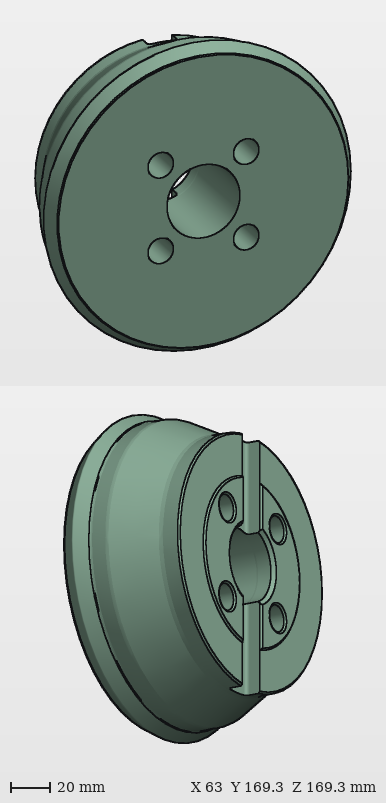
import cadquery as cq
import math

PILOT_HEIGHT = 1.0
PILOT_ROOT = 1.0
CONE_START_X = 12.0
CONE_END_X = 37.0
TOTAL_WIDTH = 63.0
RING_START_X = 47.5
RING_PEAK_X = 54.8

PILOT_DIAMETER = 90.0
FRONT_DIAMETER = 135.0
DRUM_DIAMETER = 159.43
RING_DIAMETER = 169.34

FACE_CHAMFER = 1.0
PILOT_CHAMFER = PILOT_HEIGHT
CONE_START_FILLET = 5.0
CONE_END_FILLET = 4.0
RING_ROOT_FILLET = 2.0
PEAK_RADIUS = 0.8
FLANK_ANGLE = math.radians(31.5)

BORE_DIAMETER = 40.02
BORE_CLEARANCE_DIAMETER = 40.2
BORE_CHAMFER = 2.0
FIT_END_X = 9.7
CLEARANCE_START_X = 10.7

SLOT_WIDTH = 16.4
SLOT_DEPTH = 9.4
SLOT_FLOOR_FILLET = 2.0

BOLT_CIRCLE_DIAMETER = 66.7
BOLT_HOLE_DIAMETER = 14.0
BOLT_HOLE_CHAMFER = 1.0
BOLT_COUNT = 4

SHARP_PEAK_RADIUS = RING_DIAMETER / 2 + PEAK_RADIUS * (1 / math.cos(FLANK_ANGLE) - 1)
FLANK_SLOPE = math.tan(FLANK_ANGLE)
SEAT_RADIUS = SHARP_PEAK_RADIUS - (RING_PEAK_X - RING_START_X) * FLANK_SLOPE
RING_END_X = 2 * RING_PEAK_X - RING_START_X


def flank_radius(x):
    """Radius of the V flanks at an axial position."""
    return SHARP_PEAK_RADIUS - abs(x - RING_PEAK_X) * FLANK_SLOPE


def revolve_about_x(outline):
    """Close a half section drawn above the X axis and turn it round that axis."""
    return outline.close().revolve(360, (0, 0, 0), (1, 0, 0))


def fillet_circle(body, x, radius, fillet):
    """Round the circular edge at the given axial position and radius."""
    margin = 0.05
    reach = radius + margin
    selector = cq.selectors.BoxSelector(
        (x - margin, -reach, -reach), (x + margin, reach, reach), boundingbox=True
    )
    return body.edges(selector).fillet(fillet)


def make_blank():
    """Turned hub before the pilot pad, slot and holes; its rear rim carries on the ring's rear flank."""
    front_radius = FRONT_DIAMETER / 2
    drum_radius = DRUM_DIAMETER / 2
    root_x = RING_PEAK_X - (SHARP_PEAK_RADIUS - drum_radius) / FLANK_SLOPE
    blank = revolve_about_x(
        cq.Workplane("XY")
        .moveTo(PILOT_HEIGHT, 0)
        .lineTo(PILOT_HEIGHT, front_radius - FACE_CHAMFER)
        .lineTo(PILOT_HEIGHT + FACE_CHAMFER, front_radius)
        .lineTo(CONE_START_X, front_radius)
        .lineTo(CONE_END_X, drum_radius)
        .lineTo(root_x, drum_radius)
        .lineTo(RING_START_X, SEAT_RADIUS)
        .lineTo(RING_END_X, SEAT_RADIUS)
        .lineTo(TOTAL_WIDTH, flank_radius(TOTAL_WIDTH))
        .lineTo(TOTAL_WIDTH, 0)
    )
    blank = fillet_circle(blank, CONE_START_X, front_radius, CONE_START_FILLET)
    blank = fillet_circle(blank, CONE_END_X, drum_radius, CONE_END_FILLET)
    return fillet_circle(blank, root_x, drum_radius, RING_ROOT_FILLET)


def make_pilot():
    """Raised pad, rooted in the hub and split by the slot, its proud edges chamfered all round."""
    pad = cq.Workplane("YZ").circle(PILOT_DIAMETER / 2).extrude(PILOT_HEIGHT + PILOT_ROOT)
    gap = cq.Workplane("XY").box(
        PILOT_HEIGHT + PILOT_ROOT, SLOT_WIDTH, PILOT_DIAMETER, centered=(False, True, True)
    )
    return pad.cut(gap).faces("<X").chamfer(PILOT_CHAMFER)


def make_slot():
    """Slot cutter with rounded floor corners."""
    slot = cq.Workplane("XY").box(
        SLOT_DEPTH, SLOT_WIDTH, RING_DIAMETER, centered=(False, True, True)
    )
    return slot.edges(">X and |Z").fillet(SLOT_FLOOR_FILLET)


def make_bore():
    """Cutter for the stepped bore with its front chamfer."""
    fit_radius = BORE_DIAMETER / 2
    clearance_radius = BORE_CLEARANCE_DIAMETER / 2
    return revolve_about_x(
        cq.Workplane("XY")
        .lineTo(0, fit_radius + BORE_CHAMFER)
        .lineTo(BORE_CHAMFER, fit_radius)
        .lineTo(FIT_END_X, fit_radius)
        .lineTo(CLEARANCE_START_X, clearance_radius)
        .lineTo(TOTAL_WIDTH, clearance_radius)
        .lineTo(TOTAL_WIDTH, 0)
    )


def make_bolt_hole():
    """Cutter for one through hole with a front chamfer, on the X axis."""
    hole_radius = BOLT_HOLE_DIAMETER / 2
    return revolve_about_x(
        cq.Workplane("XY")
        .lineTo(0, hole_radius + BOLT_HOLE_CHAMFER)
        .lineTo(BOLT_HOLE_CHAMFER, hole_radius)
        .lineTo(TOTAL_WIDTH, hole_radius)
        .lineTo(TOTAL_WIDTH, 0)
    )


def make_hub():
    """Hub with pilot pad, driving slot, bore and bolt holes."""
    hub = make_blank().union(make_pilot()).cut(make_slot()).cut(make_bore())
    for index in range(BOLT_COUNT):
        angle = 2 * math.pi * (index + 0.5) / BOLT_COUNT
        y = BOLT_CIRCLE_DIAMETER / 2 * math.cos(angle)
        z = BOLT_CIRCLE_DIAMETER / 2 * math.sin(angle)
        hub = hub.cut(make_bolt_hole().translate((0, y, z)))
    return hub


def make_ring():
    """Triangular ring with a rounded peak, sitting on the hub's seat."""
    half_width = PEAK_RADIUS * math.sin(FLANK_ANGLE)
    section = (
        cq.Workplane("XY")
        .moveTo(RING_START_X, SEAT_RADIUS)
        .lineTo(RING_PEAK_X - half_width, flank_radius(RING_PEAK_X - half_width))
        .threePointArc(
            (RING_PEAK_X, RING_DIAMETER / 2),
            (RING_PEAK_X + half_width, flank_radius(RING_PEAK_X + half_width)),
        )
        .lineTo(RING_END_X, SEAT_RADIUS)
    )
    return revolve_about_x(section)


hub = make_hub()
ring = make_ring()
result = cq.Compound.makeCompound([hub.val(), ring.val()])